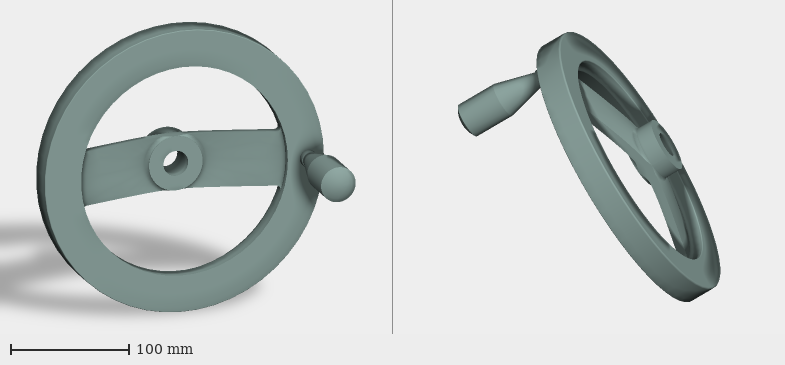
import cadquery as cq
import math


match_tolerance = 0.01

rim_diameter = 250.0
rim_recess_diameter = 192.62
rim_width = 24.0
rim_front_round = 1.5
rim_rear_round = 0.7
recess_edge_round = 1.0

hub_diameter = 48.0
hub_overhang = 26.5
bore_diameter = 22.0
hub_rear_x = 1.5

web_front_at_hub_x = -9.8
web_slope_angle = 16.5
web_axial_thickness = 7.6
web_root_round = 2.5
spoke_width = hub_diameter
window_diameter = 185.0
window_corner_round = 3.5

handle_offset = (rim_diameter + rim_recess_diameter) / 4
neck_diameter = 14.88
neck_length = 5.7
taper_start_diameter = 12.4
taper_length = 36.7
grip_diameter = 31.0
grip_length = 35.8
total_length = 133.96

rim_radius = rim_diameter / 2
recess_radius = rim_recess_diameter / 2
hub_radius = hub_diameter / 2
bore_radius = bore_diameter / 2
window_radius = window_diameter / 2


def web_front_x(radius):
    """Axial position of the front face of the conical web."""
    return web_front_at_hub_x + (radius - hub_radius) * math.tan(math.radians(web_slope_angle))


def web_rear_x(radius):
    """Axial position of the rear face of the conical web."""
    return web_front_x(radius) + web_axial_thickness


def round_circle(body, x, radius, round_radius):
    """Fillet the circular edge of the given radius centred on the axis at x."""
    edges = [
        edge
        for edge in body.edges("%CIRCLE").vals()
        if abs(edge.radius() - radius) < match_tolerance and abs(edge.Center().x - x) < match_tolerance
    ]
    return body.newObject(edges).fillet(round_radius)


def make_wheel_blank():
    """Revolve hub, web and rim as one section, then round its edges."""
    section_corners = [
        (-hub_overhang, bore_radius),
        (-hub_overhang, hub_radius),
        (web_front_x(hub_radius), hub_radius),
        (web_front_x(recess_radius), recess_radius),
        (0, recess_radius),
        (0, rim_radius),
        (rim_width, rim_radius),
        (rim_width, window_radius),
        (web_rear_x(window_radius), window_radius),
        (web_rear_x(hub_radius), hub_radius),
        (hub_rear_x, hub_radius),
        (hub_rear_x, bore_radius),
    ]
    blank = cq.Workplane("XY").polyline(section_corners).close().revolve(360, (0, 0, 0), (1, 0, 0))
    rounded_circles = [
        (web_front_x(hub_radius), hub_radius, web_root_round),
        (web_rear_x(hub_radius), hub_radius, web_root_round),
        (web_front_x(recess_radius), recess_radius, web_root_round),
        (0, recess_radius, recess_edge_round),
        (0, rim_radius, rim_front_round),
        (rim_width, rim_radius, rim_rear_round),
    ]
    for x, radius, round_radius in rounded_circles:
        blank = round_circle(blank, x, radius, round_radius)
    return blank


def make_windows():
    """Two round-cornered segments of the window circle, either side of the spoke."""
    length = hub_overhang + rim_width
    spoke_gap = cq.Workplane("XY").box(2 * length, rim_diameter, spoke_width)
    return (
        cq.Workplane("YZ", origin=(-hub_overhang, 0, 0))
        .circle(window_radius)
        .extrude(length)
        .cut(spoke_gap)
        .edges("|X")
        .edges(">Y or <Y")
        .fillet(window_corner_round)
    )


def make_handle():
    """Revolved handle: neck, tapered shank, grip and domed end."""
    neck_end = rim_width + neck_length
    taper_end = neck_end + taper_length
    grip_end = taper_end + grip_length
    tip = total_length - hub_overhang
    grip_radius = grip_diameter / 2
    dome_height = tip - grip_end
    dome_radius = (grip_radius**2 + dome_height**2) / (2 * dome_height)
    dome_mid_radius = grip_radius / 2
    dome_mid_x = tip - dome_radius + math.sqrt(dome_radius**2 - dome_mid_radius**2)
    return (
        cq.Workplane("XY", origin=(0, handle_offset, 0))
        .moveTo(rim_width, 0)
        .lineTo(rim_width, neck_diameter / 2)
        .lineTo(neck_end, neck_diameter / 2)
        .lineTo(neck_end, taper_start_diameter / 2)
        .lineTo(taper_end, grip_radius)
        .lineTo(grip_end, grip_radius)
        .threePointArc((dome_mid_x, dome_mid_radius), (tip, 0))
        .close()
        .revolve(360, (0, 0, 0), (1, 0, 0))
    )


wheel = make_wheel_blank().cut(make_windows())
result = wheel.union(make_handle())